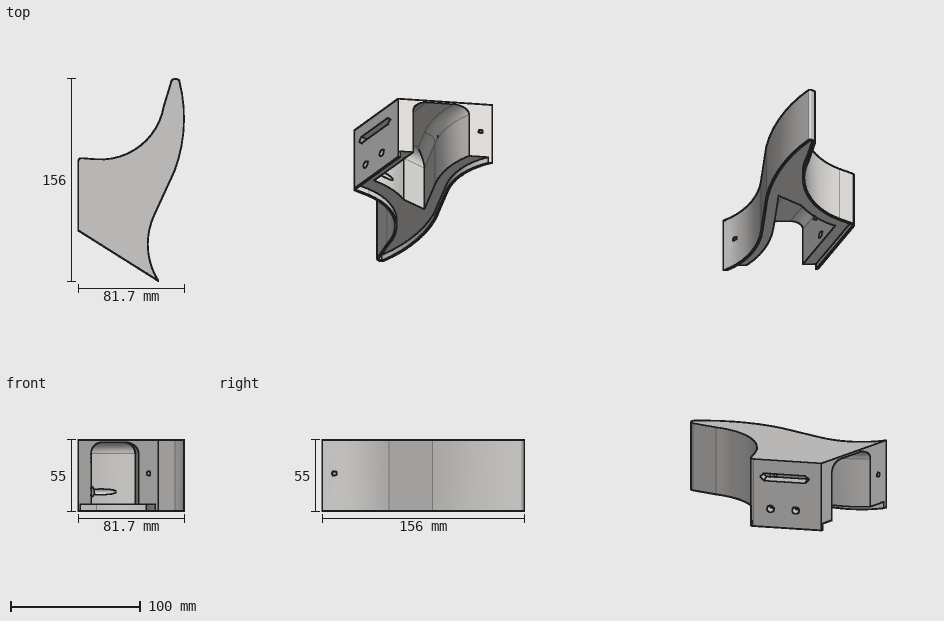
import cadquery as cq
import math

height = 55.0
base_y = 39.0
heel_x = 61.9
side_top_y = 95.1
tip_y = 156.0
tip_left_x = 72.4
tip_right_x = 77.7
corner_radius = 2.5
heel_slope = 0.5

hollow_end_y = 86.5
wall = 10.0
back_wall = 13.3
roof = 1.9
roof_fillet = 8.6
cover_lip = 1.4
cover_depth = 5.3
mouth_overrun = 21.8

screw_diameter = 5.5
screw_z = 15.0
screw_ys = (59.3, 79.0)
screw_length = 31.2
sink_diameter = 10.0
slot_start_y = 48.8
slot_end_y = 87.2
slot_width = 6.1
slot_z = 40.9
slot_depth = wall

pin_diameter = 3.3
pin_x = 54.3
pin_z = 29.2
pin_depth = 7.8

mouth_length = math.hypot(heel_x, base_y)
inward_x, inward_y = base_y / mouth_length, heel_x / mouth_length

back_start = (14.0, 94.0)
back_middle = (47.7, 104.3)
back_end = (66.0, 134.9)

waist_middle = (53.8, 26.5)
straight_start = (59.0, 51.5)
straight_end = (74.4, 85.0)
bulge_middle = (81.7, 123.2)


def circle_through(p, q, r):
    """Centre and radius of the circle through three points."""
    (px, py), (qx, qy), (rx, ry) = p, q, r
    q_sq = (qx - px) ** 2 + (qy - py) ** 2
    r_sq = (rx - px) ** 2 + (ry - py) ** 2
    det = 2 * ((qx - px) * (ry - py) - (qy - py) * (rx - px))
    dx = ((ry - py) * q_sq - (qy - py) * r_sq) / det
    dy = ((qx - px) * r_sq - (rx - px) * q_sq) / det
    return (px + dx, py + dy), math.hypot(dx, dy)


def plan_outline(overrun):
    """Closed plan of the body, its mouth end carried outward by overrun."""
    outline = cq.Workplane("XY").moveTo(0, side_top_y).lineTo(0, base_y)
    if overrun:
        outline = outline.lineTo(0, -overrun)
        outline = outline.lineTo(heel_x + overrun * heel_slope, -overrun)
    return (
        outline
        .lineTo(heel_x, 0)
        .threePointArc(waist_middle, straight_start)
        .lineTo(*straight_end)
        .threePointArc(bulge_middle, (tip_right_x, tip_y))
        .lineTo(tip_left_x, tip_y)
        .lineTo(*back_end)
        .threePointArc(back_middle, back_start)
        .close()
    )


def make_body():
    body = plan_outline(0).extrude(height)
    for corner in ((0, side_top_y), (tip_left_x, tip_y), (tip_right_x, tip_y)):
        near = cq.selectors.NearestToPointSelector((*corner, height / 2))
        body = body.edges("|Z").edges(near).fillet(corner_radius)
    return body


def make_hollow():
    """Open-bottomed hollow running out through the mouth face."""
    centre, radius = circle_through(back_start, back_middle, back_end)
    back = cq.Workplane("XY").center(*centre).circle(radius + back_wall).extrude(height)
    hollow = plan_outline(mouth_overrun).offset2D(-wall).extrude(height - roof)
    blunt_end = cq.Workplane("XY").box(tip_y, tip_y, height, centered=False)
    hollow = hollow.cut(back).cut(blunt_end.translate((0, hollow_end_y, 0)))
    return hollow.faces(">Z").edges("not <Y").fillet(roof_fillet)


def make_cover_recess():
    return plan_outline(mouth_overrun).offset2D(-cover_lip).extrude(cover_depth)


def make_screw_holes():
    """Holes along X, widened where they enter the hollow."""
    holes = cq.Workplane("XY")
    sink_depth = (sink_diameter - screw_diameter) / 2
    for y in screw_ys:
        plane = cq.Workplane("YZ").center(y, screw_z)
        holes = holes.add(plane.circle(screw_diameter / 2).extrude(screw_length))
        cone = cq.Solid.makeCone(
            sink_diameter / 2, screw_diameter / 2, sink_depth,
            cq.Vector(wall, y, screw_z), cq.Vector(1, 0, 0),
        )
        holes = holes.add(cone)
    return holes.combine()


def make_slot():
    """Slot with pointed ends."""
    half = slot_width / 2
    return (
        cq.Workplane("YZ")
        .moveTo(slot_start_y, slot_z)
        .lineTo(slot_start_y + half, slot_z + half)
        .lineTo(slot_end_y - half, slot_z + half)
        .lineTo(slot_end_y, slot_z)
        .lineTo(slot_end_y - half, slot_z - half)
        .lineTo(slot_start_y + half, slot_z - half)
        .close()
        .extrude(slot_depth)
    )


def make_pin_hole():
    pin_y = base_y * (1 - pin_x / heel_x)
    return cq.Workplane(cq.Solid.makeCylinder(
        pin_diameter / 2, pin_depth,
        cq.Vector(pin_x, pin_y, pin_z), cq.Vector(inward_x, inward_y, 0),
    ))


result = (
    make_body()
    .cut(make_hollow())
    .cut(make_cover_recess())
    .cut(make_screw_holes())
    .cut(make_slot())
    .cut(make_pin_hole())
)